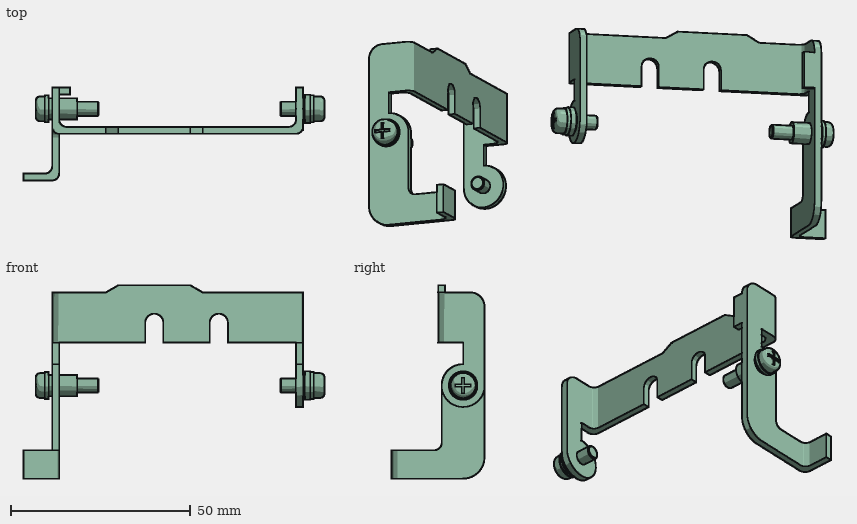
import cadquery as cq
import math


SHEET = 2.0
FRAME_WIDTH = 70.0
PLATE_TOP = 52.0
PLATE_BOTTOM = 38.0
LEG_DEPTH = 13.0
BEND_RADIUS = 2.0
LEG_TOP_RADIUS = 4.0

LIP_HEIGHT = 2.0
LIP_START = 15.0
LIP_END = 42.0
LIP_RAMP_ANGLE = 30.0
LIP_RAMP = LIP_HEIGHT / math.tan(math.radians(LIP_RAMP_ANGLE))

SLOT_WIDTH = 5.0
SLOT_DEPTH = 8.0
SLOT_CENTERS = (28.5, 46.5)

EYE_RADIUS = 6.0
SCREW_Y = LEG_DEPTH - EYE_RADIUS
SCREW_Z = 26.0

FOOT_HEIGHT = 8.0
FOOT_REACH = 13.0
FOOT_HEEL_RADIUS = 6.0
FOOT_INNER_RADIUS = 2.0
FOOT_TAB_LENGTH = 8.0

BACK_TAB_LENGTH = 3.0
BACK_TAB_TOP = PLATE_TOP - LEG_TOP_RADIUS

PIN_DIAMETER = 4.0
PIN_CHAMFER = 0.3
SLEEVE_DIAMETER = 6.0
HEAD_DIAMETER = 7.0
LOCK_WASHER_DIAMETER = 7.6
FLAT_WASHER_DIAMETER = 8.0
LOCK_WASHER_THICKNESS = 1.0
FLAT_WASHER_THICKNESS = 1.5
HEAD_ROUNDING = 1.3
CROSS_WIDTH = 0.7
CROSS_DEPTH = 0.5

LEFT_SLEEVE_GAP = 1.0
LEFT_SLEEVE_END = 7.0
LEFT_PIN_END = 13.0
LEFT_HEAD_HEIGHT = 2.6

RIGHT_SLEEVE_GAP = 0.5
RIGHT_PIN_LENGTH = 4.4
RIGHT_PIN_END = SHEET + RIGHT_PIN_LENGTH
RIGHT_HEAD_HEIGHT = 3.0


def block(x_range, y_range, z_range):
    """Box spanning the given (low, high) ranges."""
    size = [high - low for low, high in (x_range, y_range, z_range)]
    return cq.Workplane("XY").box(*size, centered=False).translate((x_range[0], y_range[0], z_range[0]))


def extrude_in_x(profile, x_start):
    """Extrude a closed YZ profile by one sheet thickness from x_start."""
    return profile.extrude(SHEET).translate((x_start, 0, 0))


def make_plate():
    """Front plate with its raised lip and open slots."""
    plate = (
        cq.Workplane("XZ")
        .moveTo(0, PLATE_BOTTOM)
        .lineTo(FRAME_WIDTH, PLATE_BOTTOM)
        .lineTo(FRAME_WIDTH, PLATE_TOP)
        .lineTo(LIP_END, PLATE_TOP)
        .lineTo(LIP_END - LIP_RAMP, PLATE_TOP + LIP_HEIGHT)
        .lineTo(LIP_START + LIP_RAMP, PLATE_TOP + LIP_HEIGHT)
        .lineTo(LIP_START, PLATE_TOP)
        .lineTo(0, PLATE_TOP)
        .close()
        .extrude(-SHEET)
    )
    half_width = SLOT_WIDTH / 2
    slot_top = PLATE_BOTTOM + SLOT_DEPTH
    for center in SLOT_CENTERS:
        slot = (
            cq.Workplane("XZ")
            .moveTo(center - half_width, PLATE_BOTTOM)
            .lineTo(center + half_width, PLATE_BOTTOM)
            .lineTo(center + half_width, slot_top - half_width)
            .threePointArc((center, slot_top), (center - half_width, slot_top - half_width))
            .close()
            .extrude(-SHEET)
        )
        plate = plate.cut(slot)
    return plate


def leg_to_eye_front():
    """Open YZ outline shared by both legs: back top corner, front edge, neck and front of the eye."""
    return (
        cq.Workplane("YZ")
        .moveTo(LEG_DEPTH, PLATE_TOP - LEG_TOP_RADIUS)
        .radiusArc((LEG_DEPTH - LEG_TOP_RADIUS, PLATE_TOP), -LEG_TOP_RADIUS)
        .lineTo(0, PLATE_TOP)
        .lineTo(0, PLATE_BOTTOM)
        .lineTo(SCREW_Y, PLATE_BOTTOM)
        .lineTo(SCREW_Y, SCREW_Z + EYE_RADIUS)
        .radiusArc((SCREW_Y - EYE_RADIUS, SCREW_Z), -EYE_RADIUS)
    )


def make_left_leg():
    """Left leg, running down into the foot."""
    shin_front = SCREW_Y - EYE_RADIUS
    profile = (
        leg_to_eye_front()
        .lineTo(shin_front, FOOT_HEIGHT + FOOT_INNER_RADIUS)
        .radiusArc((shin_front - FOOT_INNER_RADIUS, FOOT_HEIGHT), FOOT_INNER_RADIUS)
        .lineTo(-FOOT_REACH, FOOT_HEIGHT)
        .lineTo(-FOOT_REACH, 0)
        .lineTo(LEG_DEPTH - FOOT_HEEL_RADIUS, 0)
        .radiusArc((LEG_DEPTH, FOOT_HEEL_RADIUS), -FOOT_HEEL_RADIUS)
        .close()
    )
    return extrude_in_x(profile, 0)


def make_right_leg():
    """Right leg, ending in a half-round eye."""
    profile = (
        leg_to_eye_front()
        .threePointArc((SCREW_Y, SCREW_Z - EYE_RADIUS), (LEG_DEPTH, SCREW_Z))
        .close()
    )
    return extrude_in_x(profile, FRAME_WIDTH - SHEET)


def round_vertical_edge(body, x, y):
    """Fillet the vertical edge that passes through (x, y)."""
    margin = 0.1
    selector = cq.selectors.BoxSelector(
        (x - margin, y - margin, 0), (x + margin, y + margin, PLATE_TOP), boundingbox=False
    )
    return body.edges("|Z").edges(selector).fillet(BEND_RADIUS)


def make_bracket():
    """Bent sheet: plate, two legs, foot tab and back tab."""
    foot_tab = block((-FOOT_TAB_LENGTH, SHEET), (-FOOT_REACH, SHEET - FOOT_REACH), (0, FOOT_HEIGHT))
    back_tab = block(
        (0, SHEET + BACK_TAB_LENGTH), (LEG_DEPTH - SHEET, LEG_DEPTH), (PLATE_BOTTOM, BACK_TAB_TOP)
    )
    bracket = make_plate().union(make_left_leg()).union(make_right_leg()).union(foot_tab).union(back_tab)
    bend_corners = (
        (0, 0),
        (SHEET, SHEET),
        (FRAME_WIDTH, 0),
        (FRAME_WIDTH - SHEET, SHEET),
        (SHEET, -FOOT_REACH),
        (0, SHEET - FOOT_REACH),
    )
    for x, y in bend_corners:
        bracket = round_vertical_edge(bracket, x, y)
    return bracket


def disc(diameter, start, end):
    """Cylinder along X between two positions."""
    return cq.Workplane("YZ").circle(diameter / 2).extrude(end - start).translate((start, 0, 0))


def make_screw(sleeve_gap, sleeve_end, pin_end, washers, head_height):
    """Screw along +X with X = 0 at the outer leg face and its head on the -X side.

    washers lists (diameter, thickness) pairs from the leg towards the head.
    """
    screw = disc(PIN_DIAMETER, -sleeve_gap, pin_end).faces(">X").chamfer(PIN_CHAMFER)
    screw = screw.union(disc(SLEEVE_DIAMETER, -sleeve_gap, sleeve_end))
    seat = -sleeve_gap
    for diameter, thickness in washers:
        screw = screw.union(disc(diameter, seat - thickness, seat))
        seat -= thickness
    head_end = seat - head_height
    head = disc(HEAD_DIAMETER, head_end, seat).faces("<X").edges().fillet(HEAD_ROUNDING)
    cross_length = HEAD_DIAMETER - 2 * HEAD_ROUNDING
    for width, height in ((cross_length, CROSS_WIDTH), (CROSS_WIDTH, cross_length)):
        arm = cq.Workplane("YZ").rect(width, height).extrude(CROSS_DEPTH)
        head = head.cut(arm.translate((head_end, 0, 0)))
    return screw.union(head)


LOCK_WASHER = (LOCK_WASHER_DIAMETER, LOCK_WASHER_THICKNESS)
FLAT_WASHER = (FLAT_WASHER_DIAMETER, FLAT_WASHER_THICKNESS)

left_screw = make_screw(
    LEFT_SLEEVE_GAP, LEFT_SLEEVE_END, LEFT_PIN_END, [LOCK_WASHER], LEFT_HEAD_HEIGHT
).translate((0, SCREW_Y, SCREW_Z))

right_screw = (
    make_screw(RIGHT_SLEEVE_GAP, SHEET, RIGHT_PIN_END, [FLAT_WASHER, LOCK_WASHER], RIGHT_HEAD_HEIGHT)
    .mirror("YZ")
    .translate((FRAME_WIDTH, SCREW_Y, SCREW_Z))
)

result = make_bracket().union(left_screw).union(right_screw)